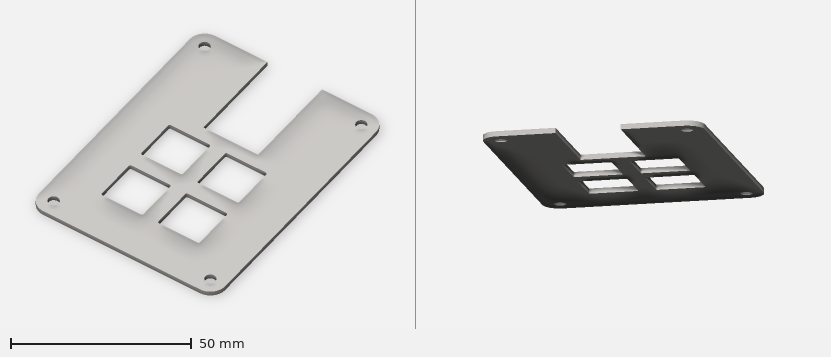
import cadquery as cq

plate_width = 62.9
plate_length = 82.9
plate_thickness = 1.5
corner_radius = 5.0

screw_hole_diameter = 3.4
screw_spacing_x = plate_width - 2 * corner_radius
screw_spacing_y = plate_length - 2 * corner_radius

notch_width = 18.5
notch_depth = 30.9
notch_center_x = 0.5

window_size = 14.0
window_corner_radius = 0.5
window_pitch = 19.1
windows_per_side = 2
window_grid_center = (-0.6, -10.45)


def make_plate():
    """Flat plate with rounded vertical corners."""
    return (
        cq.Workplane("XY")
        .rect(plate_width, plate_length)
        .extrude(plate_thickness)
        .edges("|Z")
        .fillet(corner_radius)
    )


def make_screw_holes():
    """Through cutters for the four corner screws."""
    return (
        cq.Workplane("XY")
        .rect(screw_spacing_x, screw_spacing_y, forConstruction=True)
        .vertices()
        .circle(screw_hole_diameter / 2)
        .extrude(plate_thickness)
    )


def make_notch():
    """Through cutter for the sharp-cornered notch in the +Y edge."""
    notch_center_y = plate_length / 2 - notch_depth / 2
    return (
        cq.Workplane("XY")
        .center(notch_center_x, notch_center_y)
        .rect(notch_width, notch_depth)
        .extrude(plate_thickness)
    )


def make_windows():
    """Through cutters for the grid of windows with lightly rounded corners."""
    return (
        cq.Workplane("XY")
        .center(*window_grid_center)
        .rarray(window_pitch, window_pitch, windows_per_side, windows_per_side)
        .rect(window_size, window_size)
        .extrude(plate_thickness)
        .edges("|Z")
        .fillet(window_corner_radius)
    )


result = make_plate().cut(make_screw_holes()).cut(make_notch()).cut(make_windows())